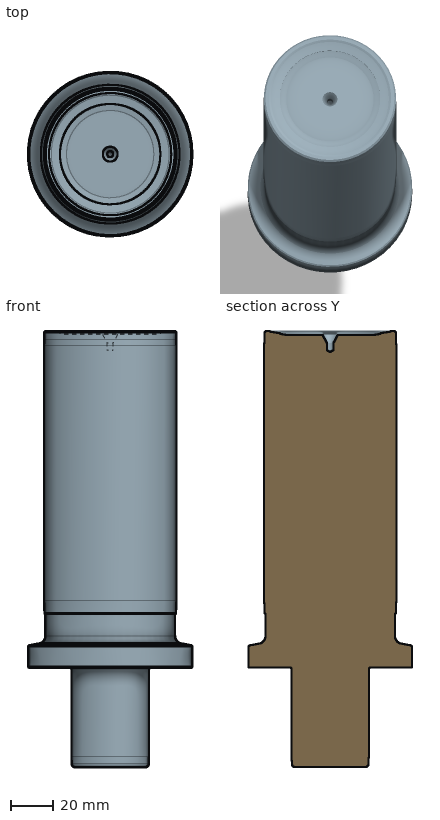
import cadquery as cq
import math

height = 207.0
spigot_end_fillet = 1.9
spigot_land_top = 5.2
flange_bottom = 47.2
flange_top = 58.0
flange_crown = 59.0
neck_bottom = 62.3
sleeve_bottom = 72.9
sleeve_taper_top = 79.0
head_taper_bottom = 200.0
head_taper_top = 202.9

flange_radius = 78.0 / 2
crown_radius = 33.0
sleeve_radius = 31.5
neck_radius = 30.8
spigot_radius = 18.5
taper_relief = 0.2
spigot_relief = 0.1
head_relief = 0.1
edge_chamfer = 0.6
head_chamfer = 0.8
sleeve_chamfer = 0.31
spigot_root_fillet = 0.6

rim_radius = 29.0
dish_radius = 28.0
dish_step_radius = 23.8
dish_floor_radius = 20.7
rim_drop = 0.5
dish_step_depth = 1.0
dish_step_height = 0.31
dish_floor_depth = 1.9

center_mouth_radius = 3.5
center_pilot_radius = 1.5
center_cone_depth = 4.0
center_pilot_depth = 7.2
center_tip_half_angle = 60.0


def quarter_arc_middle(center, radius, x_side, z_side):
    """Return the middle point of a quarter arc in the given quadrant."""
    offset = radius * math.sqrt(0.5)
    return center[0] + x_side * offset, center[1] + z_side * offset


def make_body():
    """Revolve the spigot, flange, neck and sleeve with its dished top."""
    sleeve_end_radius = sleeve_radius - taper_relief
    head_radius = sleeve_radius - head_relief
    lead_radius = spigot_radius - spigot_relief
    end_fillet_center = (lead_radius - spigot_end_fillet, spigot_end_fillet)
    root_fillet_center = (spigot_radius + spigot_root_fillet, flange_bottom - spigot_root_fillet)
    transition_width = crown_radius - neck_radius
    transition_height = neck_bottom - flange_crown
    transition_radius = (transition_width**2 + transition_height**2) / (2 * transition_width)
    half_sweep = math.atan2(transition_width, transition_height)
    transition_middle = (
        neck_radius + transition_radius * (1 - math.cos(half_sweep)),
        neck_bottom - transition_radius * math.sin(half_sweep),
    )
    profile = (
        cq.Workplane("XZ")
        .moveTo(0, 0)
        .lineTo(lead_radius - spigot_end_fillet, 0)
        .threePointArc(
            quarter_arc_middle(end_fillet_center, spigot_end_fillet, 1, -1),
            (lead_radius, spigot_end_fillet),
        )
        .lineTo(spigot_radius, spigot_land_top)
        .lineTo(spigot_radius, flange_bottom - spigot_root_fillet)
        .threePointArc(
            quarter_arc_middle(root_fillet_center, spigot_root_fillet, -1, 1),
            (spigot_radius + spigot_root_fillet, flange_bottom),
        )
        .lineTo(flange_radius - edge_chamfer, flange_bottom)
        .lineTo(flange_radius, flange_bottom + edge_chamfer)
        .lineTo(flange_radius, flange_top - edge_chamfer)
        .lineTo(flange_radius - edge_chamfer, flange_top)
        .lineTo(crown_radius, flange_crown)
        .threePointArc(transition_middle, (neck_radius, neck_bottom))
        .lineTo(neck_radius, sleeve_bottom)
        .lineTo(sleeve_end_radius - sleeve_chamfer, sleeve_bottom)
        .lineTo(sleeve_end_radius, sleeve_bottom + sleeve_chamfer)
        .lineTo(sleeve_radius, sleeve_taper_top)
        .lineTo(sleeve_radius, head_taper_bottom)
        .lineTo(head_radius, head_taper_top)
        .lineTo(head_radius, height - head_chamfer)
        .lineTo(head_radius - head_chamfer, height)
        .lineTo(rim_radius, height)
        .lineTo(dish_radius, height - rim_drop)
        .lineTo(dish_step_radius, height - dish_step_depth)
        .lineTo(dish_step_radius, height - dish_step_depth - dish_step_height)
        .lineTo(dish_floor_radius, height - dish_floor_depth)
        .lineTo(0, height - dish_floor_depth)
        .close()
    )
    return profile.revolve(360, (0, 0, 0), (0, 1, 0))


def make_center_hole():
    """Center drilling: a countersink followed by a narrow pilot with a conical tip."""
    floor = height - dish_floor_depth
    cone_bottom = floor - center_cone_depth
    tip_depth = center_pilot_radius / math.tan(math.radians(center_tip_half_angle))
    pilot_bottom = floor - center_pilot_depth
    return (
        cq.Workplane("XZ")
        .moveTo(0, floor)
        .lineTo(center_mouth_radius, floor)
        .lineTo(center_pilot_radius, cone_bottom)
        .lineTo(center_pilot_radius, pilot_bottom)
        .lineTo(0, pilot_bottom - tip_depth)
        .close()
        .revolve(360, (0, 0, 0), (0, 1, 0))
    )


result = make_body().cut(make_center_hole())